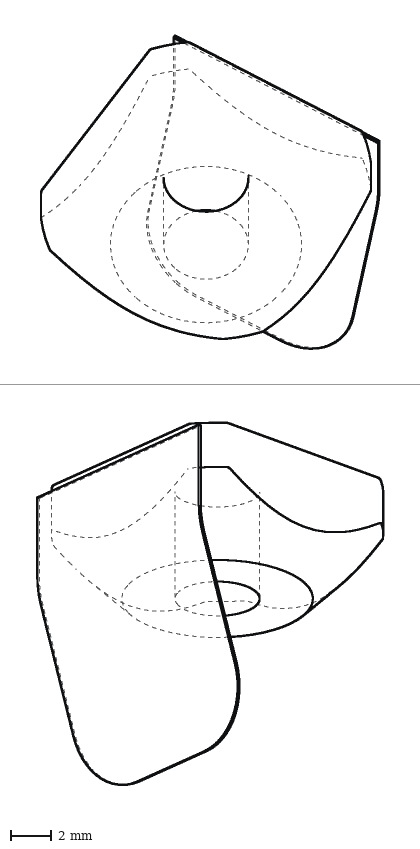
import cadquery as cq
import math

total_height = 16.05

nut_width = 13.0
nut_height = 6.0
corner_radius = 8.25
corner_height = 2.5
edge_fillet = 0.25
hole_diameter = 4.2

leaf_width = 12.0
leaf_thickness = 0.15
leaf_top_drop = 0.5
bend_start_drop = 4.75
bend_radius = 4.65
bend_angle = math.radians(18.5)
leaf_corner_radius = 3.5


def make_nut():
    """Square nut with round-trimmed corners, a 45 degree conical base and a through hole."""
    block = cq.Workplane("XY").rect(nut_width, nut_width).extrude(-nut_height)
    round_bar = cq.Workplane("XY").circle(corner_radius).extrude(-nut_height)
    blank = block.intersect(round_bar).edges("|Z").fillet(edge_fillet)
    blank = blank.cut(cq.Workplane("XY").circle(hole_diameter / 2).extrude(-nut_height))
    blank = blank.faces(">Z").edges().fillet(edge_fillet)

    base_radius = corner_radius - (nut_height - corner_height)
    cone_envelope = (
        cq.Workplane("XZ")
        .moveTo(0, 0)
        .lineTo(corner_radius, 0)
        .lineTo(corner_radius, -corner_height)
        .lineTo(base_radius, -nut_height)
        .lineTo(0, -nut_height)
        .close()
        .revolve(360, (0, 0, 0), (0, 1, 0))
    )
    return blank.intersect(cone_envelope)


def make_leaf():
    """Thin strip that runs down the nut's side, bends inward and ends in rounded corners."""
    inner_y = nut_width / 2
    outer_y = inner_y + leaf_thickness
    outer_radius = bend_radius + leaf_thickness
    bend_centre_y = inner_y - bend_radius

    def bend_point(radius, angle):
        return (bend_centre_y + radius * math.cos(angle), -bend_start_drop - radius * math.sin(angle))

    outer_end = bend_point(outer_radius, bend_angle)
    inner_end = bend_point(bend_radius, bend_angle)
    slope_length = (total_height + outer_end[1]) / math.cos(bend_angle)
    slope_y = -slope_length * math.sin(bend_angle)
    slope_z = -slope_length * math.cos(bend_angle)

    strip = (
        cq.Workplane("YZ")
        .moveTo(inner_y, -leaf_top_drop)
        .lineTo(outer_y, -leaf_top_drop)
        .lineTo(outer_y, -bend_start_drop)
        .threePointArc(bend_point(outer_radius, bend_angle / 2), outer_end)
        .lineTo(outer_end[0] + slope_y, outer_end[1] + slope_z)
        .lineTo(inner_end[0] + slope_y, inner_end[1] + slope_z)
        .lineTo(*inner_end)
        .threePointArc(bend_point(bend_radius, bend_angle / 2), (inner_y, -bend_start_drop))
        .close()
        .extrude(leaf_width / 2, both=True)
    )
    across_leaf = cq.Vector(0, math.cos(bend_angle), -math.sin(bend_angle))
    tip_edges = strip.edges(cq.selectors.ParallelDirSelector(across_leaf))
    return tip_edges.fillet(leaf_corner_radius)


nut = make_nut()
leaf = make_leaf()

result = cq.Compound.makeCompound([nut.val(), leaf.val()])